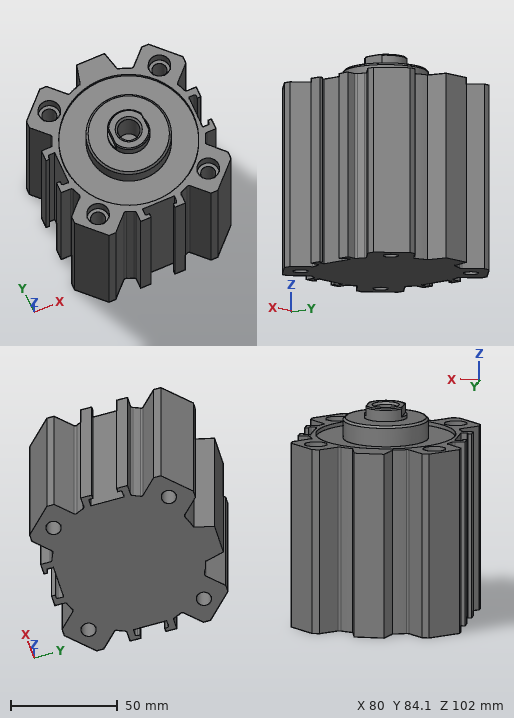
import cadquery as cq

total_height = 102.0
body_height = 88.0
collar_top = 96.0

body_width = 80.0
wall_diameter = 71.8

lug_width = 22.1
lug_reach = 47.9
lug_root_radius = 1.2

rail_reach = 39.6
rail_outer_width = 22.8
rail_root_radius = 1.2
slot_floor = 34.3
slot_width = 16.2
slot_opening = 12.1
slot_lip = 1.8
slot_corner_radius = 0.8

spine_reach = 44.1
spine_tip_width = 14.2
spine_base_width = 19.0
spine_base = 34.6

recess_diameter = 65.5
recess_depth = 1.8
collar_diameter = 40.0
collar_chamfer = 1.0
bolt_offset = 28.2
bolt_diameter = 7.0
bolt_head_diameter = 10.5
bolt_head_depth = 6.6

rod_diameter = 20.0
rod_chamfer = 0.6
rod_socket_floor = 10.0
flat_width = 17.0
flat_length = 4.5
rod_hole_diameter = 10.5
rod_hole_mouth = 12.6
rod_hole_depth = 20.0
countersink_angle = 90

rail_angles = (180, 270, 0)
lug_angles = (45, 135, 225, 315)


def turn(solid, angle):
    """Turn a solid about the rod axis."""
    return solid.rotate((0, 0, 0), (0, 0, 1), angle)


def bar(inner, outer, width):
    """Full-height bar reaching along +X from inner to outer."""
    block = cq.Workplane("XY").box(outer - inner, width, body_height, centered=(False, True, False))
    return block.translate((inner, 0, 0))


def fillet_wall_corners(solid, radius):
    """Round the upright edges that lie on the round outer wall."""
    def on_wall(edge):
        middle = edge.Center()
        return abs((middle.x**2 + middle.y**2) ** 0.5 - wall_diameter / 2) < 0.001
    return solid.edges("|Z").filter(on_wall).fillet(radius)


def make_lugged_tube():
    """Round wall with four corner lugs trimmed to the square of the body width."""
    lugs = cq.Workplane("XY")
    for angle in lug_angles:
        lugs = lugs.union(turn(bar(0, lug_reach, lug_width), angle))
    square = cq.Workplane("XY").box(body_width, body_width, body_height, centered=(True, True, False))
    wall = cq.Workplane("XY").circle(wall_diameter / 2).extrude(body_height)
    wall = turn(wall, lug_angles[0])
    return fillet_wall_corners(wall.union(lugs.intersect(square)), lug_root_radius)


def make_slot():
    """T-slot facing +X: a wide pocket behind a narrower opening."""
    pocket = bar(slot_floor, rail_reach - slot_lip, slot_width)
    pocket = pocket.edges(">X and |Z").fillet(slot_corner_radius)
    return pocket.union(bar(slot_floor, rail_reach, slot_opening))


def make_spine():
    """Tapered rib along the +Y side."""
    outline = [
        (-spine_base_width / 2, spine_base),
        (-spine_tip_width / 2, spine_reach),
        (spine_tip_width / 2, spine_reach),
        (spine_base_width / 2, spine_base),
        (0, 0),
    ]
    return cq.Workplane("XY").polyline(outline).close().extrude(body_height)


def make_housing():
    housing = make_lugged_tube()
    for angle in rail_angles:
        housing = housing.union(turn(bar(0, rail_reach, rail_outer_width), angle))
    housing = fillet_wall_corners(housing, rail_root_radius)
    for angle in rail_angles:
        housing = housing.cut(turn(make_slot(), angle))
    housing = housing.union(make_spine())

    cover_face = body_height - recess_depth
    recess = cq.Workplane("XY").workplane(offset=cover_face).circle(recess_diameter / 2).extrude(recess_depth)
    collar = (
        cq.Workplane("XY").workplane(offset=cover_face)
        .circle(collar_diameter / 2).extrude(collar_top - cover_face)
        .faces(">Z").edges().chamfer(collar_chamfer)
    )
    housing = housing.cut(recess).union(collar)

    bolts = (
        cq.Workplane("XY").workplane(offset=body_height)
        .rect(2 * bolt_offset, 2 * bolt_offset, forConstruction=True).vertices()
    )
    housing = housing.cut(bolts.circle(bolt_diameter / 2).extrude(-body_height))
    housing = housing.cut(bolts.circle(bolt_head_diameter / 2).extrude(-bolt_head_depth))

    socket = (
        cq.Workplane("XY").workplane(offset=rod_socket_floor)
        .circle(rod_diameter / 2).extrude(collar_top - rod_socket_floor)
    )
    return housing.cut(socket)


def make_rod():
    rod = (
        cq.Workplane("XY").workplane(offset=rod_socket_floor)
        .circle(rod_diameter / 2).extrude(total_height - rod_socket_floor)
        .faces(">Z").edges().chamfer(rod_chamfer)
    )

    flats_bottom = cq.Workplane("XY").workplane(offset=total_height - flat_length)
    removed = flats_bottom.rect(2 * rod_diameter, 2 * rod_diameter).extrude(flat_length)
    kept = flats_bottom.rect(flat_width, 2 * rod_diameter).extrude(flat_length)
    rod = rod.cut(removed.cut(kept))

    return (
        rod.faces(">Z").workplane(origin=(0, 0, total_height))
        .cskHole(rod_hole_diameter, rod_hole_mouth, countersink_angle, rod_hole_depth)
    )


housing = make_housing()
rod = make_rod()
result = cq.Compound.makeCompound([housing.val(), rod.val()])